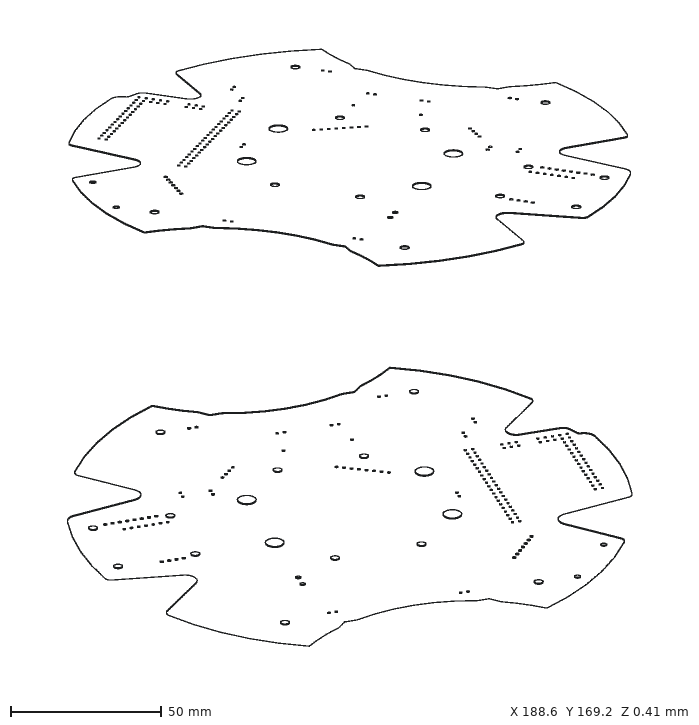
import cadquery as cq
import math

PLATE_RADIUS = 94.3
PLATE_THICKNESS = 0.41
CUT_MARGIN = 18.9

TIP_Y = 84.6
CUTOUT_BOTTOM_Y = 69.2
TIP_X = math.sqrt(PLATE_RADIUS**2 - TIP_Y**2)
TIP_HEIGHT = TIP_Y - CUTOUT_BOTTOM_Y
CUTOUT_RADIUS = (TIP_X**2 + TIP_HEIGHT**2) / (2 * TIP_HEIGHT)
CUTOUT_CENTER_Y = CUTOUT_BOTTOM_Y + CUTOUT_RADIUS

RELIEF_BOTTOM_Y = 72.8
RELIEF_HALF_WIDTH = 25.3
RELIEF_DEPTH = 5.7

NOTCH_APEX_X = 59.0
NOTCH_APEX_Y = 27.7
NOTCH_LOWER_ANGLE = -10.0
NOTCH_UPPER_ANGLE = 45.0
NOTCH_FILLET = 4.0
NOTCH_LENGTH = PLATE_RADIUS - NOTCH_APEX_X + CUT_MARGIN

STEP_TOP_Y = 28.7
STEP_BOTTOM_Y = 23.2
STEP_TOP_X = -84.8
STEP_BOTTOM_X = -87.5
STEPPED_APEX_X = -(NOTCH_APEX_X - NOTCH_APEX_Y + STEP_TOP_Y)
STEPPED_NOTCH_FILLET = 3.5
STEP_TOP_FILLET = 3.0
STEP_BOTTOM_FILLET = 1.5

RIM_CORNER_FILLET = 2.0
UPPER_SIDE_FILLET = 4.1
RIM_TOLERANCE = 0.02

MOTOR_HOLE_DIAMETER = 6.2
MOUNT_HOLE_DIAMETER = 3.0
CENTER_HOLE_SHORT_SPAN = 30.2
CENTER_HOLE_LONG_SPAN = 62.0
CENTER_HOLE_NEAR = CENTER_HOLE_SHORT_SPAN / 2
CENTER_HOLE_FAR = CENTER_HOLE_LONG_SPAN / 2
ARM_HOLE_X = 44.3
ARM_HOLE_Y = 67.1
MODULE_HOLE_INNER_X = 58.5
MODULE_HOLE_OUTER_X = 85.4
MODULE_HOLE_UPPER_Y = 12.8
MODULE_HOLE_LOWER_Y = -14.1
SENSOR_HOLE_DIAMETER = 2.0
TERMINAL_HOLE_DIAMETER = 1.75
TERMINAL_X = 30.7
TERMINAL_Y = -39.5
TERMINAL_PITCH = 4.7

LONG_HEADER_ROWS = 21
LONG_HEADER_LENGTH = 50.9
PITCH = LONG_HEADER_LENGTH / (LONG_HEADER_ROWS - 1)
LARGE_PIN = 1.1
MEDIUM_PIN = 0.9
SMALL_PIN = 0.8
HEADER_TOP_Y = 24.5
LONG_HEADER_X = -50.9
LEFT_HEADER_X = -83.9
LEFT_HEADER_ROWS = 16
SHORT_HEADER_X = -66.2


def prism(points):
    """Cutter with the given outline and the thickness of the plate."""
    return cq.Workplane("XY").polyline(points).close().extrude(PLATE_THICKNESS)


def round_corner(body, x, y, radius):
    """Round the upright edge nearest to (x, y)."""
    corner = cq.selectors.NearestToPointSelector((x, y, PLATE_THICKNESS / 2))
    return body.edges("|Z").edges(corner).fillet(radius)


def wheel_cutout():
    """Cutter for the wheel cutout on the +Y side."""
    wall_top_x = RELIEF_HALF_WIDTH + RELIEF_DEPTH
    wall_top_y = RELIEF_BOTTOM_Y + RELIEF_DEPTH
    relief = prism([
        (-RELIEF_HALF_WIDTH, RELIEF_BOTTOM_Y),
        (RELIEF_HALF_WIDTH, RELIEF_BOTTOM_Y),
        (wall_top_x, wall_top_y),
        (-wall_top_x, wall_top_y),
    ])
    arc = (
        cq.Workplane("XY")
        .center(0, CUTOUT_CENTER_Y)
        .circle(CUTOUT_RADIUS)
        .extrude(PLATE_THICKNESS)
    )
    return arc.union(relief)


def wedge_side(angle):
    """Far end of a notch side that leaves the +X, +Y apex at the given angle."""
    rise = NOTCH_LENGTH * math.tan(math.radians(angle))
    return NOTCH_APEX_X + NOTCH_LENGTH, NOTCH_APEX_Y + rise


def plain_notch():
    """Cutter for the notch on the +X, +Y side."""
    apex = (NOTCH_APEX_X, NOTCH_APEX_Y)
    wedge = prism([apex, wedge_side(NOTCH_LOWER_ANGLE), wedge_side(NOTCH_UPPER_ANGLE)])
    return round_corner(wedge, *apex, NOTCH_FILLET)


def stepped_notch():
    """Cutter for the notch on the -X, +Y side."""
    end_x, end_y = wedge_side(NOTCH_UPPER_ANGLE)
    notch = prism([
        (STEPPED_APEX_X, STEP_TOP_Y),
        (-end_x, end_y),
        (-end_x, STEP_BOTTOM_Y),
        (STEP_BOTTOM_X, STEP_BOTTOM_Y),
        (STEP_TOP_X, STEP_TOP_Y),
    ])
    notch = round_corner(notch, STEPPED_APEX_X, STEP_TOP_Y, STEPPED_NOTCH_FILLET)
    notch = round_corner(notch, STEP_TOP_X, STEP_TOP_Y, STEP_TOP_FILLET)
    return round_corner(notch, STEP_BOTTOM_X, STEP_BOTTOM_Y, STEP_BOTTOM_FILLET)


def is_notch_mouth(edge):
    """True for the upright edges where a notch meets the rim."""
    center = edge.Center()
    on_rim = abs(math.hypot(center.x, center.y) - PLATE_RADIUS) < RIM_TOLERANCE
    return on_rim and abs(center.y) < CUTOUT_BOTTOM_Y


def is_upper_side_corner(edge):
    """True for the notch mouths at the upper ends of the -X and +X sides."""
    return is_notch_mouth(edge) and 0 < edge.Center().y < STEP_TOP_Y


def is_other_corner(edge):
    """True for the remaining notch mouths."""
    return is_notch_mouth(edge) and not is_upper_side_corner(edge)


def make_plate():
    """The plate outline, without holes."""
    body = cq.Workplane("XY").circle(PLATE_RADIUS).extrude(PLATE_THICKNESS)
    wheel = wheel_cutout()
    notch = plain_notch()
    body = body.cut(wheel).cut(wheel.mirror("XZ"))
    body = body.cut(notch).cut(notch.mirror("XZ"))
    body = body.cut(notch.mirror("XZ").mirror("YZ")).cut(stepped_notch())
    body = body.edges("|Z").filter(is_other_corner).fillet(RIM_CORNER_FILLET)
    return body.edges("|Z").filter(is_upper_side_corner).fillet(UPPER_SIDE_FILLET)


def mirrored(x, y):
    """The four points at (+-x, +-y)."""
    return [(i * x, j * y) for i in (1, -1) for j in (1, -1)]


def pin_row(x, y, count, angle=0.0):
    """Points one pitch apart from (x, y) on, in the direction of the angle in degrees."""
    step_x = PITCH * math.cos(math.radians(angle))
    step_y = PITCH * math.sin(math.radians(angle))
    return [(x + i * step_x, y + i * step_y) for i in range(count)]


def pin_grid(x, y, columns, rows):
    """Points of a header whose upper left pin is at (x, y)."""
    left_column = pin_row(x, y, rows, -90)
    return [pin for left_pin in left_column for pin in pin_row(*left_pin, columns)]


def pins(*rows):
    """All points of several rows in one list."""
    return [pin for row in rows for pin in row]


mount_holes = (
    mirrored(CENTER_HOLE_NEAR, CENTER_HOLE_FAR)
    + mirrored(ARM_HOLE_X, ARM_HOLE_Y)
    + [
        (x, y)
        for x in (MODULE_HOLE_INNER_X, MODULE_HOLE_OUTER_X)
        for y in (MODULE_HOLE_UPPER_Y, MODULE_HOLE_LOWER_Y)
    ]
)

sensor_holes = [(-57.7, -67.7), (-72.5, -50.0)]
terminal_holes = [(TERMINAL_X, TERMINAL_Y), (TERMINAL_X, TERMINAL_Y - TERMINAL_PITCH)]

large_pins = pins(
    pin_row(63.0, 14.0, 8),
    pin_row(63.0, -15.6, 4),
    pin_row(-51.5, -37.3, 7, -50),
    pin_row(31.9, 66.7, 2),
    pin_row(40.5, 24.7, 2, -90),
)

medium_pins = pins(
    pin_row(-19.6, 18.1, 8, 30),
    pin_row(28.7, 37.3, 4, -45),
    pin_row(60.5, 9.0, 7),
    pin_row(-34.7, 67.5, 2),
    pin_row(-13.8, 54.1, 2),
    pin_row(5.0, 54.5, 2),
    pin_row(-20.0, -66.0, 2),
    pin_row(25.8, -65.5, 2),
    pin_row(-57.3, 44.0, 2, -90),
    pin_row(-51.3, 35.8, 2, -90),
    pin_row(50.5, 26.4, 2, -90),
    pin_row(-37.0, -1.7, 2, -90),
    [(-14.7, 42.8), (9.2, 42.8)],
)

small_pins = pins(
    pin_grid(LONG_HEADER_X, HEADER_TOP_Y, 2, LONG_HEADER_ROWS),
    pin_grid(LEFT_HEADER_X, HEADER_TOP_Y, 2, LEFT_HEADER_ROWS),
    pin_grid(LEFT_HEADER_X + 2 * PITCH, HEADER_TOP_Y, 3, 2),
    pin_grid(SHORT_HEADER_X, HEADER_TOP_Y, 3, 2),
)

holes = [
    (MOTOR_HOLE_DIAMETER, mirrored(CENTER_HOLE_FAR, CENTER_HOLE_NEAR)),
    (MOUNT_HOLE_DIAMETER, mount_holes),
    (SENSOR_HOLE_DIAMETER, sensor_holes),
    (TERMINAL_HOLE_DIAMETER, terminal_holes),
    (LARGE_PIN, large_pins),
    (MEDIUM_PIN, medium_pins),
    (SMALL_PIN, small_pins),
]

result = make_plate()
for diameter, centers in holes:
    drills = cq.Workplane("XY").pushPoints(centers).circle(diameter / 2).extrude(PLATE_THICKNESS)
    result = result.cut(drills)